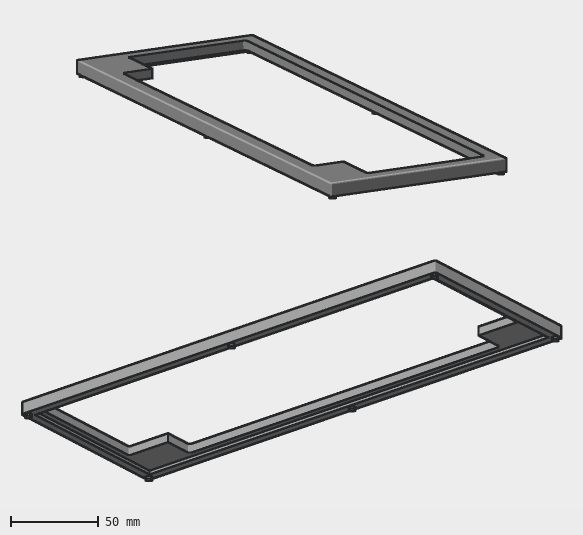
import cadquery as cq

length = 305.75
width = 115.25
total_height = 9.6

foot_diameter = 4.0
foot_height = 1.5
foot_inset = 2.8

body_height = total_height - foot_height
edge_radius = 1.0
rail_width = 9.5

pad_length = 28.7
pad_width = 19.5

window_corner_radius = 2.0
step_corner_radius = 1.0

recess_depth = 2.4
rim_width = 2 * foot_inset


def make_body():
    """Plate with its vertical corners and top outer edges rounded."""
    plate = cq.Workplane("XY").box(length, width, body_height, centered=(True, True, False))
    return plate.edges("|Z or >Z").fillet(edge_radius)


def make_window():
    """T-shaped opening: wide behind the pads, narrower between them."""
    half_wide = length / 2 - rail_width
    half_narrow = half_wide - pad_length
    back = width / 2 - rail_width
    front = -back
    step = front + pad_width
    outline = [
        (-half_wide, back),
        (half_wide, back),
        (half_wide, step),
        (half_narrow, step),
        (half_narrow, front),
        (-half_narrow, front),
        (-half_narrow, step),
        (-half_wide, step),
    ]
    window = cq.Workplane("XY").polyline(outline).close().extrude(body_height)
    window = window.edges("|Z and (>Y or <Y)").fillet(window_corner_radius)
    return window.edges("|Z and (<X or >X)").edges("<Y").fillet(step_corner_radius)


def make_recess():
    """Shallow rectangular pocket in the underside, leaving the rim all round."""
    recess_length = length - 2 * rim_width
    recess_width = width - 2 * rim_width
    return cq.Workplane("XY").box(recess_length, recess_width, recess_depth, centered=(True, True, False))


def make_feet():
    """Two rows of three feet: at both ends and in the middle of each long rail."""
    foot_x = length / 2 - foot_inset
    foot_y = width / 2 - foot_inset
    positions = [(x, y) for x in (-foot_x, 0, foot_x) for y in (-foot_y, foot_y)]
    return cq.Workplane("XY").pushPoints(positions).circle(foot_diameter / 2).extrude(-foot_height)


result = make_body().cut(make_window()).cut(make_recess()).union(make_feet())